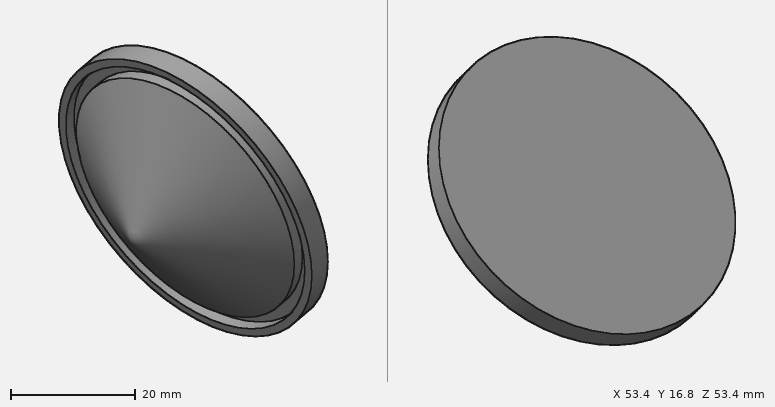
import cadquery as cq
import math

disc_diameter = 53.4
disc_thickness = 4.0

groove_outer_diameter = 50.4
groove_depth = 2.0

cone_base_diameter = 46.0
cone_slope = math.radians(30)
tip_radius = 3.0

disc_radius = disc_diameter / 2
groove_radius = groove_outer_diameter / 2
cone_radius = cone_base_diameter / 2

front_y = -disc_thickness
groove_floor_y = front_y + groove_depth

sharp_apex_y = front_y - cone_radius * math.tan(cone_slope)
tip_center_y = sharp_apex_y + tip_radius / math.cos(cone_slope)
tip_y = tip_center_y - tip_radius


def tip_point(angle):
    """Point (radius, y) on the tip arc, at the given angle from the axis."""
    return (tip_radius * math.sin(angle), tip_center_y - tip_radius * math.cos(angle))


def revolved_body():
    """Revolve the half section (X = radius) about the Y axis."""
    half_section = (
        cq.Workplane("XY")
        .moveTo(0, 0)
        .lineTo(disc_radius, 0)
        .lineTo(disc_radius, front_y)
        .lineTo(groove_radius, front_y)
        .lineTo(groove_radius, groove_floor_y)
        .lineTo(cone_radius, groove_floor_y)
        .lineTo(cone_radius, front_y)
        .lineTo(*tip_point(cone_slope))
        .threePointArc(tip_point(cone_slope / 2), (0, tip_y))
        .close()
    )
    return half_section.revolve(360, (0, 0, 0), (0, 1, 0))


result = revolved_body()